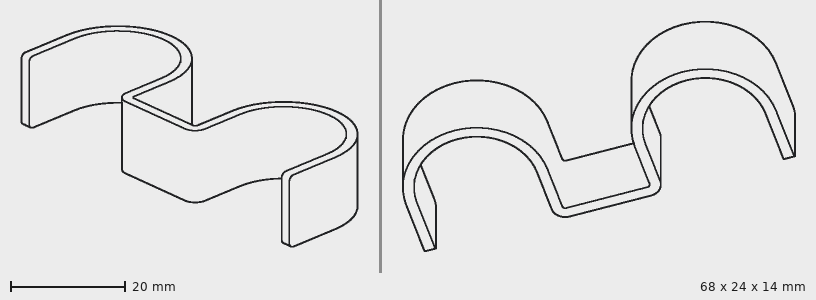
import cadquery as cq

length = 68.0
strip_width = 14.0
thickness = 2.0
arch_outer_radius = 13.0
leg_length = 11.0
bend_outer_radius = 2.5
corner_radius = 1.0

arch_inner_radius = arch_outer_radius - thickness
bend_inner_radius = bend_outer_radius - thickness
arch_center = length / 2 - arch_outer_radius
web_outer_half = arch_center - arch_inner_radius
web_inner_half = web_outer_half - thickness
foot_y = -leg_length
web_top_y = foot_y + thickness


def half_strip():
    """Right half of the bent strip: half the web, a bend, the inner leg, the arch and the outer leg."""
    bend_y = foot_y + bend_outer_radius
    bend_x = web_outer_half - bend_outer_radius
    return (
        cq.Workplane("XY")
        .moveTo(0, foot_y)
        .lineTo(bend_x, foot_y)
        .radiusArc((web_outer_half, bend_y), -bend_outer_radius)
        .lineTo(web_outer_half, 0)
        .threePointArc((arch_center, arch_inner_radius), (arch_center + arch_inner_radius, 0))
        .lineTo(arch_center + arch_inner_radius, foot_y)
        .lineTo(length / 2, foot_y)
        .lineTo(length / 2, 0)
        .threePointArc((arch_center, arch_outer_radius), (web_inner_half, 0))
        .lineTo(web_inner_half, bend_y)
        .radiusArc((bend_x, web_top_y), bend_inner_radius)
        .lineTo(0, web_top_y)
        .close()
        .extrude(strip_width)
    )


def round_free_end(half):
    """Round the top and bottom corners of the outer leg's free end."""
    leg_center = length / 2 - thickness / 2
    for z in (0, strip_width):
        corner = cq.selectors.NearestToPointSelector((leg_center, foot_y, z))
        half = half.edges("|X").edges(corner).fillet(corner_radius)
    return half


right_half = round_free_end(half_strip())
result = right_half.union(right_half.mirror("YZ")).clean()